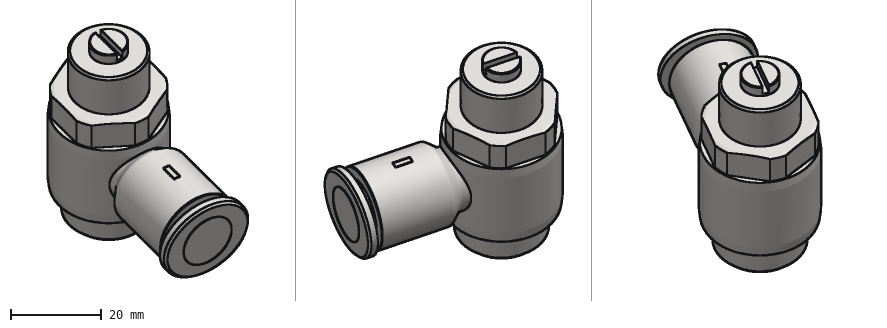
import cadquery as cq
import math


OVERALL_HEIGHT = 51.7

LIP_BOTTOM_RADIUS = 8.8
LIP_TOP_RADIUS = 9.0
LIP_HEIGHT = 0.6
THREAD_RADIUS = 10.5
THREAD_BEVEL = 1.25
THREAD_TOP = 6.7
GROOVE_RADIUS = 9.25
GROOVE_BOTTOM = 8.1
GROOVE_TAPER_START = 8.55
GROOVE_TOP_RADIUS = 9.4

BODY_RADIUS = 13.5
BODY_END_RADIUS = 13.25
BODY_BOTTOM = 9.25
BODY_HEIGHT = 21.95
BODY_TAPER_HEIGHT = 2.5
BODY_TOP = BODY_BOTTOM + BODY_HEIGHT

HEX_ACROSS_FLATS = 24.0
HEX_CORNER_RADIUS = 12.9
HEX_HEIGHT = 7.0
HEX_BEVEL_HEIGHT = 0.25
HEX_TOP_RADIUS = HEX_ACROSS_FLATS / 2
HEX_TOP = BODY_TOP + HEX_HEIGHT

CAP_RADIUS = 9.0
CAP_TOP = 49.0
CAP_CHAMFER = 0.5
SCREW_RADIUS = 4.3
SCREW_CHAMFER = 0.2
SLOT_WIDTH = 1.5
SLOT_DEPTH = 1.95

OUTLET_Z = 21.1
LINK_RADIUS = 7.55
LINK_END = 13.55
SLEEVE_RADIUS = 9.9
SLEEVE_CONE_ANGLE = 40.0
SLEEVE_CONE_FILLET = 1.05
SLEEVE_END = 34.2
SLEEVE_END_CHAMFER = 0.15
COLLAR_NECK_RADIUS = 7.15

COLLAR_START = 35.95
COLLAR_WIDTH = 22.55
COLLAR_HEIGHT = 19.65
COLLAR_THICKNESS = 2.15
COLLAR_CHAMFER = 0.55
COLLAR_FACE_RADIUS = 6.4
OUTLET_END = OVERALL_HEIGHT - BODY_RADIUS

MARKER_START = 22.2
MARKER_LENGTH = 4.2
MARKER_WIDTH = 1.5
MARKER_RISE = 0.15


def disc(radius, bottom, top):
    """Cylinder on the valve axis between two heights."""
    return cq.Workplane("XY").workplane(offset=bottom).circle(radius).extrude(top - bottom)


def outlet_disc(radius, start, end):
    """Cylinder on the outlet axis between two distances from the valve axis."""
    plane = cq.Workplane("YZ", origin=(start, 0, OUTLET_Z))
    return plane.circle(radius).extrude(end - start)


def make_threaded_end_and_body():
    bevel_radius = THREAD_RADIUS - THREAD_BEVEL
    profile = [
        (0, 0),
        (LIP_BOTTOM_RADIUS, 0),
        (LIP_TOP_RADIUS, LIP_HEIGHT),
        (bevel_radius, LIP_HEIGHT),
        (THREAD_RADIUS, LIP_HEIGHT + THREAD_BEVEL),
        (THREAD_RADIUS, THREAD_TOP),
        (GROOVE_RADIUS, GROOVE_BOTTOM),
        (GROOVE_RADIUS, GROOVE_TAPER_START),
        (GROOVE_TOP_RADIUS, BODY_BOTTOM),
        (BODY_END_RADIUS, BODY_BOTTOM),
        (BODY_RADIUS, BODY_BOTTOM + BODY_TAPER_HEIGHT),
        (BODY_RADIUS, BODY_TOP - BODY_TAPER_HEIGHT),
        (BODY_END_RADIUS, BODY_TOP),
        (0, BODY_TOP),
    ]
    return cq.Workplane("XZ").polyline(profile).close().revolve(360, (0, 0), (0, 1))


def make_hexagon():
    across_corners = HEX_ACROSS_FLATS / math.cos(math.pi / 6)
    prism = cq.Workplane("XY").workplane(offset=BODY_TOP).polygon(6, across_corners).extrude(HEX_HEIGHT)
    turned_profile = [
        (0, BODY_TOP),
        (HEX_CORNER_RADIUS, BODY_TOP),
        (HEX_CORNER_RADIUS, HEX_TOP - HEX_BEVEL_HEIGHT),
        (HEX_TOP_RADIUS, HEX_TOP),
        (0, HEX_TOP),
    ]
    turned = cq.Workplane("XZ").polyline(turned_profile).close().revolve(360, (0, 0), (0, 1))
    return prism.intersect(turned)


def make_cap_and_screw():
    cap = disc(CAP_RADIUS, HEX_TOP, CAP_TOP).faces(">Z").chamfer(CAP_CHAMFER)
    screw = disc(SCREW_RADIUS, CAP_TOP, OVERALL_HEIGHT).faces(">Z").chamfer(SCREW_CHAMFER)
    slot = cq.Workplane("XY").box(2 * SCREW_RADIUS, SLOT_WIDTH, SLOT_DEPTH, centered=(True, True, False))
    screw = screw.cut(slot.translate((0, 0, OVERALL_HEIGHT - SLOT_DEPTH)))
    return cap.union(screw)


def make_sleeve():
    """Link out of the body, widening through a rounded cone into the sleeve."""
    cone_length = (SLEEVE_RADIUS - LINK_RADIUS) / math.tan(math.radians(SLEEVE_CONE_ANGLE))
    cone_end = LINK_END + cone_length
    profile = [
        (0, OUTLET_Z),
        (0, OUTLET_Z + LINK_RADIUS),
        (LINK_END, OUTLET_Z + LINK_RADIUS),
        (cone_end, OUTLET_Z + SLEEVE_RADIUS),
        (SLEEVE_END, OUTLET_Z + SLEEVE_RADIUS),
        (SLEEVE_END, OUTLET_Z),
    ]
    sleeve = cq.Workplane("XZ").polyline(profile).close().revolve(360, (0, OUTLET_Z), (1, OUTLET_Z))
    sleeve = sleeve.faces("%CONE").edges("%CIRCLE").fillet(SLEEVE_CONE_FILLET)
    return sleeve.faces(">X").chamfer(SLEEVE_END_CHAMFER)


def make_marker():
    top = OUTLET_Z + SLEEVE_RADIUS + MARKER_RISE
    marker = cq.Workplane("XY", origin=(MARKER_START, 0, OUTLET_Z))
    return marker.box(MARKER_LENGTH, MARKER_WIDTH, top - OUTLET_Z, centered=(False, True, False))


def make_collar():
    neck = outlet_disc(COLLAR_NECK_RADIUS, SLEEVE_END, COLLAR_START)
    flange = cq.Workplane("YZ", origin=(COLLAR_START, 0, OUTLET_Z))
    flange = flange.ellipse(COLLAR_WIDTH / 2, COLLAR_HEIGHT / 2).extrude(COLLAR_THICKNESS)
    flange = flange.faces(">X").chamfer(COLLAR_CHAMFER)
    face = outlet_disc(COLLAR_FACE_RADIUS, COLLAR_START, OUTLET_END)
    return neck.union(flange).union(face)


result = make_threaded_end_and_body()
for feature in (make_hexagon(), make_cap_and_screw(), make_sleeve(), make_marker(), make_collar()):
    result = result.union(feature)